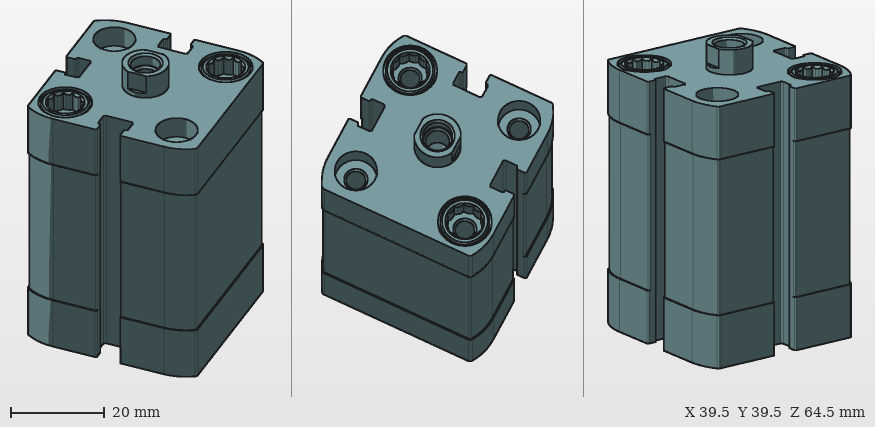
import cadquery as cq
import math

housing_width = 39.5
end_cap_height = 11.95
housing_height = 58.9
barrel_height = housing_height - 2 * end_cap_height
barrel_inset = 0.25
corner_arc_radius = 12.0
corner_arc_start = 12.9
corner_edge_fillet = 0.85

slot_mouth_width = 5.4
slot_head_width = 6.9
slot_lip_depth = 2.3
slot_depth = 5.7
slot_floor_fillet = 0.5
slot_lip_fillet = 0.3
slot_mouth_fillet = 0.4
edge_margin = 0.05
slot_directions = (-90, 90, 180)

hole_offset = 12.95
through_diameter = 4.1
lead_in_diameter = 5.0
counterbore_diameter = 9.0
counterbore_depth = 4.85

groove_outer_diameter = 11.5
groove_inner_diameter = 10.5
collar_top_diameter = 9.75
groove_depth = 0.8
socket_depth = 4.5
spline_teeth = 12
first_tooth_angle = 45.0
spline_root_diameter = 8.1
socket_mouth_diameter = 8.4
spline_tip_diameter = 7.5
spline_tip_half_angle = 6.0
socket_chamfer_height = 0.65

rod_diameter = 10.0
overall_height = 64.5
rod_bottom = housing_height - end_cap_height
rod_across_flats = 9.0
rod_flat_height = 4.25
rod_shelf_drop = 0.25
bore_mouth_diameter = 7.35
bore_diameter = 6.4
ledge_inner_diameter = 6.0
bore_step_depth = 2.8
drill_diameter = 5.0
drill_depth = 10.0
drill_point_angle = 118


def cone(bottom_diameter, top_diameter, height, bottom_z):
    """A truncated cone on the Z axis."""
    return cq.Workplane(
        cq.Solid.makeCone(bottom_diameter / 2, top_diameter / 2, height, pnt=cq.Vector(0, 0, bottom_z))
    )


def cylinder(diameter, bottom_z, top_z):
    """A cylinder on the Z axis."""
    return cq.Workplane("XY", origin=(0, 0, bottom_z)).circle(diameter / 2).extrude(top_z - bottom_z)


def edge_box(x, half_width, height):
    """Selects the edges at a given X that lie within a half width of the XZ plane."""
    return cq.selectors.BoxSelector(
        (x - edge_margin, -half_width - edge_margin, -edge_margin),
        (x + edge_margin, half_width + edge_margin, height + edge_margin),
    )


def slot_cutter(height):
    """A T-slot running up Z that opens through the +X face."""
    half_width = housing_width / 2
    floor_x = half_width - slot_depth
    lip_x = half_width - slot_lip_depth
    mouth = slot_mouth_width / 2
    head = slot_head_width / 2
    outer_x = half_width + edge_margin
    points = [
        (outer_x, mouth), (lip_x, mouth), (lip_x, head), (floor_x, head),
        (floor_x, -head), (lip_x, -head), (lip_x, -mouth), (outer_x, -mouth),
    ]
    return (
        cq.Workplane("XY").polyline(points).close().extrude(height)
        .edges("|Z and <X").fillet(slot_floor_fillet)
        .edges("|Z").edges(edge_box(lip_x, head, height)).fillet(slot_lip_fillet)
    )


def housing_section(inset, bottom_z, height):
    """One length of the housing, with its outline moved inwards by the inset."""
    half = housing_width / 2 - inset
    radius = corner_arc_radius - inset
    arc_centre_y = half - radius

    def arc_y(x):
        return arc_centre_y + math.sqrt(radius**2 - (x - corner_arc_start) ** 2)

    corner_y = arc_y(half)
    middle_x = (corner_arc_start + half) / 2
    middle_y = arc_y(middle_x)
    section = (
        cq.Workplane("XY")
        .moveTo(-corner_arc_start, half)
        .lineTo(corner_arc_start, half)
        .threePointArc((middle_x, middle_y), (half, corner_y))
        .lineTo(half, -corner_y)
        .threePointArc((middle_x, -middle_y), (corner_arc_start, -half))
        .lineTo(-corner_arc_start, -half)
        .threePointArc((-middle_x, -middle_y), (-half, -corner_y))
        .lineTo(-half, corner_y)
        .threePointArc((-middle_x, middle_y), (-corner_arc_start, half))
        .close()
        .extrude(height)
        .edges("|Z and (<X or >X)")
        .fillet(corner_edge_fillet - inset)
    )
    cutter = slot_cutter(height)
    mouth_edges = edge_box(half, slot_mouth_width / 2, height)
    for angle in slot_directions:
        section = (
            section.rotate((0, 0, 0), (0, 0, 1), -angle)
            .cut(cutter)
            .edges("|Z").edges(mouth_edges).fillet(slot_mouth_fillet)
            .rotate((0, 0, 0), (0, 0, 1), angle)
        )
    return section.translate((0, 0, bottom_z))


def through_hole(floor_z):
    """The through hole below a recess floor, with its conical lead-in."""
    lead_in_height = (lead_in_diameter - through_diameter) / 2
    lead_in = cone(through_diameter, lead_in_diameter, lead_in_height, floor_z - lead_in_height)
    return cylinder(through_diameter, 0, floor_z).union(lead_in)


def counterbored_hole():
    """A through hole below a plain cylindrical counterbore."""
    floor_z = housing_height - counterbore_depth
    return through_hole(floor_z).union(cylinder(counterbore_diameter, floor_z, housing_height))


def spline_bore(bottom_z, top_z):
    """The toothed bore: flat-tipped teeth between V-shaped roots."""
    pitch = 360 / spline_teeth
    points = []
    for tooth in range(spline_teeth):
        tooth_angle = first_tooth_angle + tooth * pitch
        for angle, diameter in (
            (tooth_angle - spline_tip_half_angle, spline_tip_diameter),
            (tooth_angle + spline_tip_half_angle, spline_tip_diameter),
            (tooth_angle + pitch / 2, spline_root_diameter),
        ):
            direction = math.radians(angle)
            points.append((diameter / 2 * math.cos(direction), diameter / 2 * math.sin(direction)))
    return cq.Workplane("XY", origin=(0, 0, bottom_z)).polyline(points).close().extrude(top_z - bottom_z)


def splined_hole():
    """A through hole below a splined socket, with a ring groove around the socket."""
    floor_z = housing_height - socket_depth
    groove_z = housing_height - groove_depth
    collar_chamfer = (groove_inner_diameter - collar_top_diameter) / 2
    collar_chamfer_z = housing_height - collar_chamfer
    collar = cylinder(groove_inner_diameter, groove_z, collar_chamfer_z).union(
        cone(groove_inner_diameter, collar_top_diameter, collar_chamfer, collar_chamfer_z)
    )
    groove = cylinder(groove_outer_diameter, groove_z, housing_height).cut(collar)
    chamfer_z = housing_height - socket_chamfer_height
    chamfer = cone(spline_tip_diameter, socket_mouth_diameter, socket_chamfer_height, chamfer_z)
    toothed_bore = spline_bore(floor_z, housing_height)
    return through_hole(floor_z).union(toothed_bore).union(chamfer).union(groove)


def make_housing():
    lower_cap = housing_section(0, 0, end_cap_height)
    barrel = housing_section(barrel_inset, end_cap_height, barrel_height)
    upper_cap = housing_section(0, housing_height - end_cap_height, end_cap_height)
    housing = lower_cap.union(barrel).union(upper_cap)
    for side in (-1, 1):
        along = side * hole_offset
        housing = housing.cut(counterbored_hole().translate((along, -along, 0)))
        housing = housing.cut(splined_hole().translate((along, along, 0)))
    return housing.cut(cylinder(rod_diameter, rod_bottom, housing_height))


def rod_bore(top_z):
    """The stepped blind bore in the rod end, turned about the rod axis."""
    mouth_radius = bore_mouth_diameter / 2
    bore_radius = bore_diameter / 2
    drill_radius = drill_diameter / 2
    chamfer = mouth_radius - bore_radius
    ledge_radius = ledge_inner_diameter / 2
    taper = ledge_radius - drill_radius
    point_height = drill_radius / math.tan(math.radians(drill_point_angle / 2))
    return (
        cq.Workplane("XZ")
        .polyline([
            (0, top_z),
            (mouth_radius, top_z),
            (bore_radius, top_z - chamfer),
            (bore_radius, top_z - bore_step_depth),
            (ledge_radius, top_z - bore_step_depth),
            (drill_radius, top_z - bore_step_depth - taper),
            (drill_radius, top_z - drill_depth),
            (0, top_z - drill_depth - point_height),
        ])
        .close()
        .revolve(360, (0, 0, 0), (0, 1, 0))
    )


def make_rod():
    top_z = overall_height
    rod = cylinder(rod_diameter, rod_bottom, top_z)
    flat_y = rod_across_flats / 2
    outer_y = rod_diameter / 2
    shelf_z = top_z - rod_flat_height
    flat = (
        cq.Workplane("YZ")
        .polyline([
            (flat_y, top_z),
            (flat_y, shelf_z),
            (outer_y, shelf_z - rod_shelf_drop),
            (outer_y, top_z),
        ])
        .close()
        .extrude(rod_diameter / 2, both=True)
    )
    rod = rod.cut(flat).cut(flat.mirror("XZ"))
    return rod.cut(rod_bore(top_z))


housing = make_housing()
rod = make_rod()
result = cq.Compound.makeCompound([housing.val(), rod.val()])